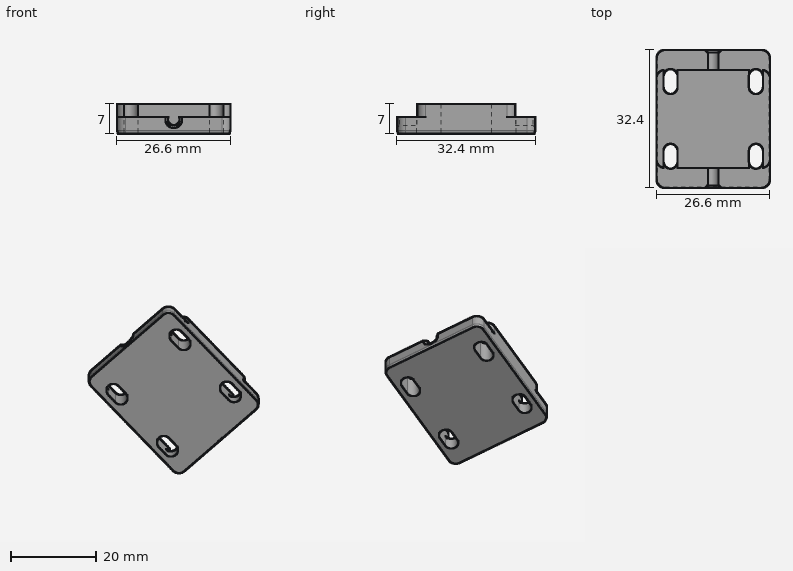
import cadquery as cq
import math

width = 26.6
length = 32.4
base_height = 4.0
corner_radius = 2.0

rim_height = 0.8
rim_taper = 15.0

total_height = 7.0
block_length = 23.0
block_height = total_height - base_height

slot_width = 3.25
slot_length = 5.77
slot_spacing_x = 20.0
slot_spacing_y = 17.5

channel_radius = 1.35
channel_axis_drop = 0.6
channel_chamfer = 0.6
channel_axis_z = base_height - channel_axis_drop


def rounded_plate(plate_length, bottom_z, height):
    """Full-width plate with rounded vertical edges."""
    return (
        cq.Workplane("XY")
        .workplane(offset=bottom_z)
        .rect(width, plate_length)
        .extrude(height)
        .edges("|Z")
        .fillet(corner_radius)
    )


def tapered_base():
    """Base plate whose lower rim slopes inward towards the bottom face."""
    rim_inset = rim_height * math.tan(math.radians(rim_taper))
    plate = rounded_plate(length, 0, base_height)
    return plate.faces("<Z").chamfer(rim_height, rim_inset)


def slot_cutter(side_x, side_y):
    """Through slot, opened with straight sides at the end of the raised block."""
    slot_x = side_x * slot_spacing_x / 2
    slot_y = side_y * slot_spacing_y / 2
    through_slot = (
        cq.Workplane("XY")
        .center(slot_x, slot_y)
        .slot2D(slot_length, slot_width, 90)
        .extrude(total_height)
    )
    block_opening = (
        cq.Workplane("XY")
        .workplane(offset=base_height)
        .center(slot_x, slot_y + side_y * slot_length / 2)
        .rect(slot_width, slot_length)
        .extrude(block_height)
    )
    return through_slot.union(block_opening)


def channel_cutter(side_y):
    """Round channel with a flared mouth, ending flush with the block face."""
    end_y = side_y * length / 2
    block_y = side_y * block_length / 2
    mouth_radius = channel_radius + channel_chamfer
    return (
        cq.Workplane("XY")
        .moveTo(0, block_y)
        .lineTo(channel_radius, block_y)
        .lineTo(channel_radius, end_y - side_y * channel_chamfer)
        .lineTo(mouth_radius, end_y)
        .lineTo(0, end_y)
        .close()
        .revolve(360, (0, 0, 0), (0, 1, 0))
        .translate((0, 0, channel_axis_z))
    )


result = tapered_base().union(rounded_plate(block_length, base_height, block_height))

for side_y in (-1, 1):
    result = result.cut(channel_cutter(side_y))
    for side_x in (-1, 1):
        result = result.cut(slot_cutter(side_x, side_y))